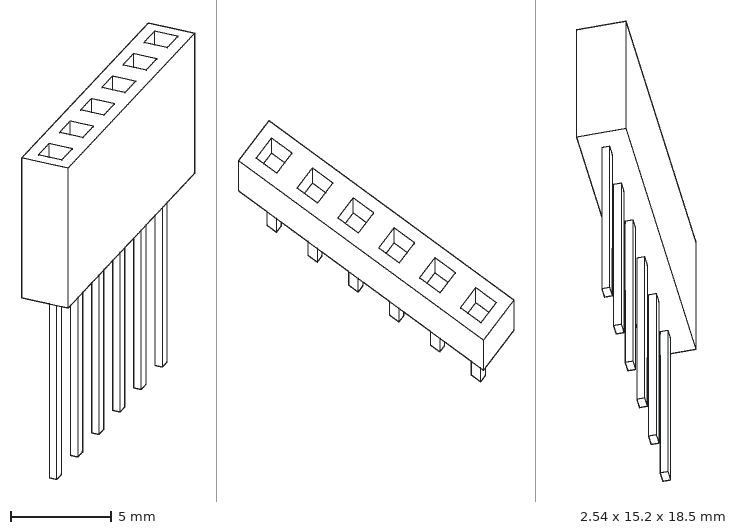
import cadquery as cq

pin_count = 6
body_length = 15.25
body_height = 8.0
total_height = 18.5

pitch = body_length / pin_count
body_width = pitch

socket_side = 1.28
socket_depth = body_height / 2

pin_thickness = 0.4
pin_width = 0.6
pin_length = total_height - body_height


def at_contacts(plane):
    """Select one point per contact, in a row along Y."""
    return plane.rarray(pitch, pitch, 1, pin_count)


def make_body():
    """Plain block with its underside on Z = 0."""
    return cq.Workplane("XY").box(body_width, body_length, body_height, centered=(True, True, False))


def make_sockets():
    """Square cutters sunk from the top face of the body."""
    top = cq.Workplane("XY").workplane(offset=body_height)
    return at_contacts(top).rect(socket_side, socket_side).extrude(-socket_depth)


def make_pins():
    """Straight pins hanging from the underside of the body."""
    underside = cq.Workplane("XY")
    return at_contacts(underside).rect(pin_thickness, pin_width).extrude(-pin_length)


result = make_body().cut(make_sockets()).union(make_pins())